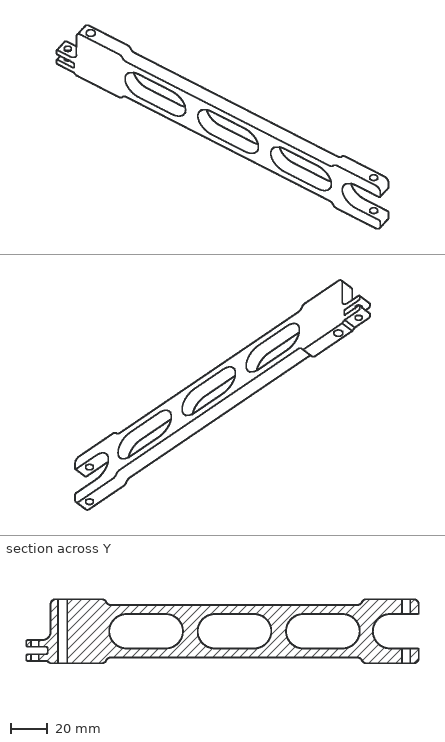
import cadquery as cq
import math

length = 213.0
thickness = 8.0
height = 35.0
mid_height = height / 2

block_left = 13.2
block_corner_radius = 3.0
finger_top = 12.8
finger_bottom = 1.3
finger_root_radius = 4.3
finger_ramp_length = 2.0
slot_depth = 11.7
slot_width = 4.0
slot_middle = 7.0
slot_edge_radius = 1.0

beam_inset = 3.2
shoulder_length = 5.1
beam_recess_left = 41.0
beam_recess_right = 184.7

window_count = 3
window_length = 39.8
window_height = 18.5
window_pitch = 48.0
first_window_left = 45.2

fork_notch_left = 188.0
fork_outer_radius = 3.2
fork_inner_radius = 0.9

finger_hole = (4.7, 3.8)
block_hole = (19.8, 5.0)
fork_hole = (206.0, 4.3)


def plate(sketch):
    """Extrude an XZ outline symmetrically through the thickness."""
    return sketch.extrude(thickness / 2, both=True)


def round_edges(body, radius, points):
    """Round the edges along Y that pass through the given XZ points."""
    reach = 0.1
    for x, z in points:
        selector = cq.selectors.BoxSelector(
            (x - reach, -thickness, z - reach), (x + reach, thickness, z + reach)
        )
        body = body.edges("|Y").edges(selector).fillet(radius)
    return body


def beam_recess():
    """Strip removed above the beam; each shoulder is two tangent arcs."""
    angle = 2 * math.atan2(beam_inset, shoulder_length)
    radius = shoulder_length / 2 / math.sin(angle)
    half_sag = radius * (1 - math.cos(angle / 2))
    half_run = radius * math.sin(angle / 2)
    floor = height - beam_inset
    half_way = height - beam_inset / 2
    left_floor = beam_recess_left + shoulder_length
    right_floor = beam_recess_right - shoulder_length
    return plate(
        cq.Workplane("XZ")
        .moveTo(beam_recess_left, height)
        .threePointArc(
            (beam_recess_left + half_run, height - half_sag),
            (beam_recess_left + shoulder_length / 2, half_way),
        )
        .threePointArc((left_floor - half_run, floor + half_sag), (left_floor, floor))
        .lineTo(right_floor, floor)
        .threePointArc(
            (right_floor + half_run, floor + half_sag),
            (right_floor + shoulder_length / 2, half_way),
        )
        .threePointArc(
            (beam_recess_right - half_run, height - half_sag),
            (beam_recess_right, height),
        )
        .close()
    )


def window(left, span):
    """Round-ended opening centred on the height of the part."""
    return plate(
        cq.Workplane("XZ").center(left + span / 2, mid_height).slot2D(span, window_height)
    )


def vertical_hole(x, diameter):
    return cq.Workplane("XY").center(x, 0).circle(diameter / 2).extrude(height)


body = plate(
    cq.Workplane("XZ")
    .moveTo(0, finger_bottom)
    .lineTo(block_left - finger_ramp_length, finger_bottom)
    .lineTo(block_left, 0)
    .lineTo(length, 0)
    .lineTo(length, height)
    .lineTo(block_left, height)
    .lineTo(block_left, finger_top)
    .lineTo(0, finger_top)
    .close()
)
body = round_edges(body, block_corner_radius, [(block_left, height)])
body = round_edges(body, finger_root_radius, [(block_left, finger_top)])
body = round_edges(body, fork_outer_radius, [(length, 0), (length, height)])

slot = plate(cq.Workplane("XZ").center(slot_depth / 2, slot_middle).rect(slot_depth, slot_width))
body = body.cut(slot)
slot_top = slot_middle + slot_width / 2
slot_bottom = slot_middle - slot_width / 2
body = round_edges(
    body,
    slot_edge_radius,
    [(x, z) for x in (0, slot_depth) for z in (slot_bottom, slot_top)]
    + [(0, finger_bottom), (0, finger_top)],
)

upper_recess = beam_recess()
lower_recess = upper_recess.mirror("XY").translate((0, 0, height))
body = body.cut(upper_recess).cut(lower_recess)

for index in range(window_count):
    body = body.cut(window(first_window_left + index * window_pitch, window_length))

notch_span = length - fork_notch_left + window_height
body = body.cut(window(fork_notch_left, notch_span))
body = round_edges(
    body,
    fork_inner_radius,
    [(length, mid_height + side * window_height / 2) for side in (-1, 1)],
)

for position, diameter in (finger_hole, block_hole, fork_hole):
    body = body.cut(vertical_hole(position, diameter))

result = body